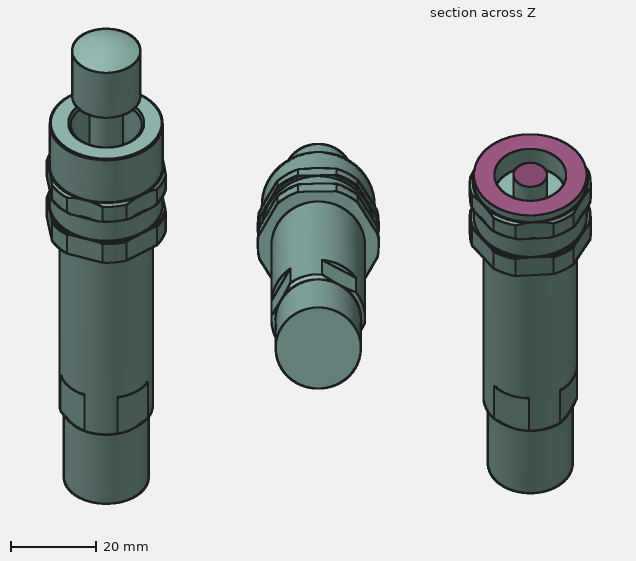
import cadquery as cq

total_height = 132.7
housing_height = 108.4

tail_diameter = 20.0
tail_height = 21.2
barrel_diameter = 22.0
barrel_chamfer = 0.9
flat_spacing = 20.0
flats_top = 33.2

collar_diameter = 26.5
collar_chamfer = 0.3
nut_across_flats = 27.0
nut_across_corners = 28.4
lower_nut_bottom = 77.5
lower_nut_height = 6.0
upper_nut_bottom = 89.8
upper_nut_height = 5.5
nut_chamfer = 0.3
upper_nut_top_chamfer = 0.7

bore_diameter = 16.7
bore_depth = 17.3
bore_chamfer = 0.5

rod_diameter = 8.0
rod_socket_depth = 13.3
cap_diameter = 16.0
cap_bottom = 116.8
dome_height = 2.1

bore_floor = housing_height - bore_depth
rod_bottom = bore_floor - rod_socket_depth


def cylinder(diameter, bottom, top):
    """Upright cylinder on the Z axis between two heights."""
    return cq.Workplane("XY").workplane(offset=bottom).circle(diameter / 2).extrude(top - bottom)


def make_barrel():
    """Threaded barrel with four wrench flats above a plain tail."""
    tail = cylinder(tail_diameter, 0, tail_height)
    barrel = cylinder(barrel_diameter, tail_height, lower_nut_bottom)
    barrel = barrel.faces("<Z").edges().chamfer(barrel_chamfer)
    square = (
        cq.Workplane("XY")
        .workplane(offset=tail_height)
        .rect(flat_spacing, flat_spacing)
        .extrude(flats_top - tail_height)
    )
    flatted_part = barrel.intersect(square)
    round_part = barrel.intersect(cylinder(barrel_diameter, flats_top, lower_nut_bottom))
    return tail.union(flatted_part).union(round_part)


def make_nut(bottom, height, top_chamfer, bottom_chamfer=0):
    """Hexagon with flats facing +X and -X, corners rounded and bevelled at the ends."""
    hexagon = (
        cq.Workplane("XY")
        .workplane(offset=bottom)
        .polygon(6, nut_across_flats, circumscribed=True)
        .extrude(height)
    )
    turned_blank = cylinder(nut_across_corners, bottom, bottom + height)
    turned_blank = turned_blank.faces(">Z").edges().chamfer(top_chamfer)
    if bottom_chamfer > 0:
        turned_blank = turned_blank.faces("<Z").edges().chamfer(bottom_chamfer)
    return hexagon.intersect(turned_blank)


def make_housing():
    """Barrel, collar and both nuts as one solid, bored for the plunger."""
    collar = cylinder(collar_diameter, lower_nut_bottom, housing_height)
    collar = collar.faces(">Z").edges().chamfer(collar_chamfer)
    body = make_barrel().union(collar)
    body = body.union(make_nut(lower_nut_bottom, lower_nut_height, nut_chamfer))
    body = body.union(make_nut(upper_nut_bottom, upper_nut_height, upper_nut_top_chamfer, nut_chamfer))

    body = body.cut(cylinder(bore_diameter, bore_floor, housing_height))
    body = body.cut(cylinder(rod_diameter, rod_bottom, bore_floor))
    mouth = cq.Solid.makeCone(
        bore_diameter / 2,
        bore_diameter / 2 + bore_chamfer,
        bore_chamfer,
        pnt=cq.Vector(0, 0, housing_height - bore_chamfer),
    )
    return body.cut(cq.Workplane(mouth))


def make_plunger():
    """Rod and domed cap, revolved about the Z axis."""
    cap_radius = cap_diameter / 2
    rod_radius = rod_diameter / 2
    dome_radius = (cap_radius**2 + dome_height**2) / (2 * dome_height)
    dome_mid_x = cap_radius / 2
    dome_mid_z = total_height - dome_radius + (dome_radius**2 - dome_mid_x**2) ** 0.5
    return (
        cq.Workplane("XZ")
        .moveTo(0, rod_bottom)
        .lineTo(rod_radius, rod_bottom)
        .lineTo(rod_radius, cap_bottom)
        .lineTo(cap_radius, cap_bottom)
        .lineTo(cap_radius, total_height - dome_height)
        .threePointArc((dome_mid_x, dome_mid_z), (0, total_height))
        .close()
        .revolve()
    )


housing = make_housing()
plunger = make_plunger()
result = cq.Compound.makeCompound([housing.val(), plunger.val()])